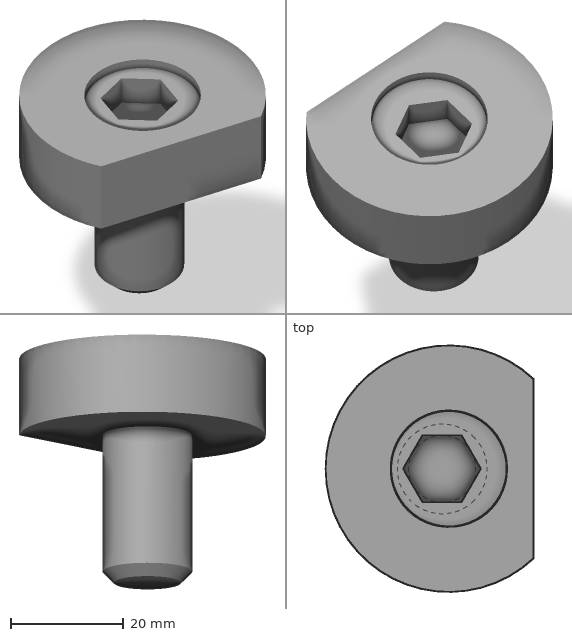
import cadquery as cq
import math

washer_diameter = 43.95
washer_thickness = 14.0
flat_distance = 15.05
counterbore_diameter = 20.8
floor_thickness = 4.0

head_diameter = 20.5
head_recess = 1.8
shank_offset = -1.25
shank_diameter = 16.0
shank_protrusion = 26.8
tip_chamfer = 2.0
socket_across_flats = 12.0
socket_depth = 5.5

head_top = washer_thickness - head_recess
socket_across_corners = socket_across_flats / math.cos(math.radians(30))


def make_washer():
    """Disc with one flat side and a stepped bore for the screw; its underside lies on Z = 0."""
    disc = cq.Workplane("XY").circle(washer_diameter / 2).extrude(washer_thickness)
    flat_cut = (
        cq.Workplane("XY", origin=(flat_distance, 0, 0))
        .rect(washer_diameter, washer_diameter, centered=(False, True))
        .extrude(washer_thickness)
    )
    counterbore = (
        cq.Workplane("XY", origin=(0, 0, floor_thickness))
        .circle(counterbore_diameter / 2)
        .extrude(washer_thickness - floor_thickness)
    )
    shank_hole = (
        cq.Workplane("XY", origin=(shank_offset, 0, 0))
        .circle(shank_diameter / 2)
        .extrude(floor_thickness)
    )
    return disc.cut(flat_cut).cut(counterbore).cut(shank_hole)


def make_eccentric_screw():
    """Cylindrical head on an offset shank, with a hex socket on the shank axis."""
    head = (
        cq.Workplane("XY", origin=(0, 0, floor_thickness))
        .circle(head_diameter / 2)
        .extrude(head_top - floor_thickness)
    )
    shank = (
        cq.Workplane("XY", origin=(shank_offset, 0, floor_thickness))
        .circle(shank_diameter / 2)
        .extrude(-(floor_thickness + shank_protrusion))
        .faces("<Z")
        .chamfer(tip_chamfer)
    )
    socket = (
        cq.Workplane("XY", origin=(shank_offset, 0, head_top))
        .polygon(6, socket_across_corners)
        .extrude(-socket_depth)
    )
    return head.union(shank).cut(socket)


washer = make_washer()
eccentric_screw = make_eccentric_screw()

result = cq.Compound.makeCompound([washer.val(), eccentric_screw.val()])